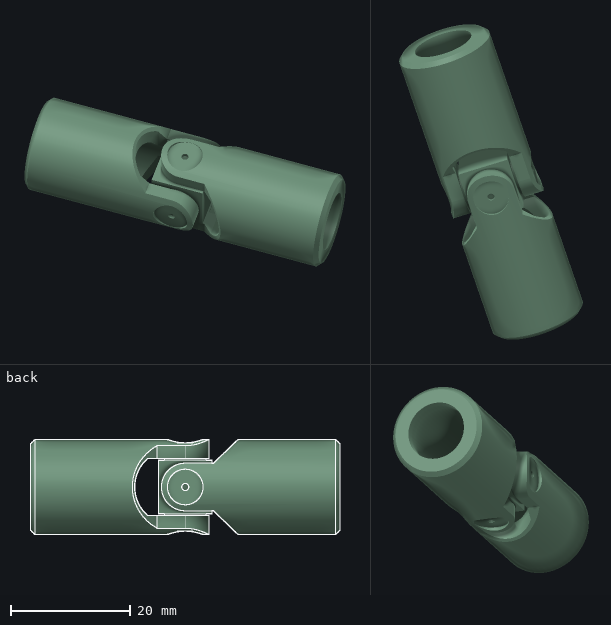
import cadquery as cq
import math

length = 52.0
body_diameter = 16.0
body_radius = body_diameter / 2
bore_diameter = 10.0
end_chamfer = 0.75

ear_width = 8.0
ear_radius = ear_width / 2
fork_gap = 9.5
gap_end_radius = 6.4
gap_depth = 8.5
ear_root = 4.75
shoulder_reach = 8.9

block_length = 9.0
block_width = 8.65
block_height = 9.0
shoulder_diameter = 7.0
pin_diameter = 6.0
pin_reach = 7.4
center_hole_diameter = 1.2
center_hole_depth = 0.6


def ear_outline():
    """Side outline of the yoke in XZ, with a round ear end and sloping shoulders."""
    root_x = -ear_root
    shoulder_x = -shoulder_reach
    return (
        cq.Workplane("XZ")
        .moveTo(-length / 2, -body_radius)
        .lineTo(shoulder_x, -body_radius)
        .lineTo(root_x, -ear_radius)
        .lineTo(0, -ear_radius)
        .threePointArc((ear_radius, 0), (0, ear_radius))
        .lineTo(root_x, ear_radius)
        .lineTo(shoulder_x, body_radius)
        .lineTo(-length / 2, body_radius)
        .close()
        .extrude(body_radius, both=True)
    )


def fork_gap_cut():
    """Space between the ears, closed by an arc whose axis is parallel to Z."""
    half_gap = fork_gap / 2
    arc_center_x = gap_end_radius - gap_depth
    arc_start_x = arc_center_x - math.sqrt(gap_end_radius**2 - half_gap**2)
    return (
        cq.Workplane("XY")
        .moveTo(ear_radius, -half_gap)
        .lineTo(arc_start_x, -half_gap)
        .threePointArc((-gap_depth, 0), (arc_start_x, half_gap))
        .lineTo(ear_radius, half_gap)
        .close()
        .extrude(body_radius, both=True)
    )


def make_yoke():
    """Yoke on the -X side, with its ears at +Y and -Y."""
    barrel = (
        cq.Workplane("YZ", origin=(-length / 2, 0, 0))
        .circle(body_radius)
        .extrude(length / 2 + ear_radius)
        .faces("<X").chamfer(end_chamfer)
    )
    bore = (
        cq.Workplane("YZ", origin=(-length / 2, 0, 0))
        .circle(bore_diameter / 2)
        .extrude(length / 2 - ear_root)
    )
    pin_holes = cq.Workplane("XZ").circle(pin_diameter / 2).extrude(body_radius, both=True)
    return barrel.intersect(ear_outline()).cut(fork_gap_cut()).cut(bore).cut(pin_holes)


def make_cross():
    """Block with a shouldered pin on each of its four Y and Z faces."""
    cross = cq.Workplane("XY").box(block_length, block_width, block_height)
    for plane in ("XY", "XZ"):
        shoulders = cq.Workplane(plane).circle(shoulder_diameter / 2).extrude(fork_gap / 2, both=True)
        pins = cq.Workplane(plane).circle(pin_diameter / 2).extrude(pin_reach, both=True)
        cross = cross.union(shoulders).union(pins)
    for plane in ("XY", "XZ"):
        for end in (-1, 1):
            center_hole = (
                cq.Workplane(plane)
                .workplane(offset=end * pin_reach)
                .circle(center_hole_diameter / 2)
                .extrude(-end * center_hole_depth)
            )
            cross = cross.cut(center_hole)
    return cross


yokes = []
for half_turn, quarter_turn in ((0, 0), (180, 90)):
    yoke = make_yoke().rotate((0, 0, 0), (0, 0, 1), half_turn).rotate((0, 0, 0), (1, 0, 0), quarter_turn)
    yokes.append(yoke)
cross = make_cross()

result = cq.Compound.makeCompound([*[yoke.val() for yoke in yokes], cross.val()])